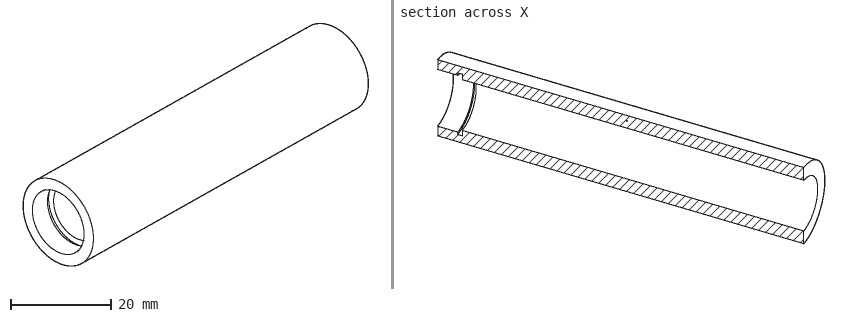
import cadquery as cq

length = 81.7
outer_diameter = 19.05
bore_diameter = 12.5
counterbore_diameter = 14.0
counterbore_depth = 5.5
groove_diameter = 15.2
groove_width = 1.0

front_face_y = -length / 2
back_face_y = length / 2
step_y = front_face_y + counterbore_depth
groove_start_y = step_y - groove_width


def make_tube():
    """Revolve the half section of the wall about the Y axis."""
    outer_radius = outer_diameter / 2
    bore_radius = bore_diameter / 2
    counterbore_radius = counterbore_diameter / 2
    groove_radius = groove_diameter / 2

    wall_section = (
        cq.Workplane("YZ")
        .moveTo(front_face_y, counterbore_radius)
        .lineTo(groove_start_y, counterbore_radius)
        .lineTo(groove_start_y, groove_radius)
        .lineTo(step_y, groove_radius)
        .lineTo(step_y, bore_radius)
        .lineTo(back_face_y, bore_radius)
        .lineTo(back_face_y, outer_radius)
        .lineTo(front_face_y, outer_radius)
        .close()
    )
    return wall_section.revolve(360, (0, 0, 0), (1, 0, 0))


result = make_tube()